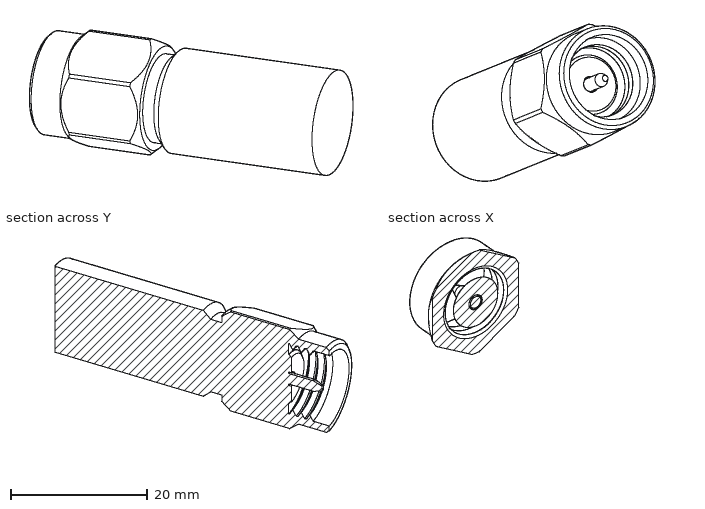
import cadquery as cq
import math

total_length = 45.2
hex_start = 5.05
hex_end = 17.75
neck_end = 19.55
barrel_start = 20.75
lip_chamfer = 0.5

collar_radius = 7.75
neck_radius = 6.6
barrel_radius = 7.8

hex_across_flats = 15.85
hex_corner_radius = 9.0
hex_end_radius = collar_radius
hex_chamfer_length = 1.5

mouth_radius = 6.35
socket_depth = 6.7
crest_radius = 5.4
thread_start = 2.65
thread_pitch = 1.4
ridge_count = 3
crest_length = 0.05
flank_angle = 30
flank_length = (mouth_radius - crest_radius) * math.tan(math.radians(flank_angle))

insulator_radius = 4.45
insulator_bevel = 0.4
insulator_face = 6.25

pin_radius = 1.0
pin_tip_radius = 0.45
pin_tip_start = 1.18
pin_taper_end = 2.6
clearance_radius = 1.18
clearance_depth = 0.45


def revolve_profile(points):
    """Revolve a closed outline of (x, radius) points about the X axis."""
    return cq.Workplane("XY").polyline(points).close().revolve(360, (0, 0, 0), (1, 0, 0))


def make_outer_body():
    """Collar, neck and barrel as one stepped round body."""
    return revolve_profile([
        (0, 0),
        (0, collar_radius - lip_chamfer),
        (lip_chamfer, collar_radius),
        (hex_end, collar_radius),
        (hex_end, neck_radius),
        (neck_end, neck_radius),
        (barrel_start, barrel_radius),
        (total_length, barrel_radius),
        (total_length, 0),
    ])


def make_hex_nut():
    """Hexagon with flats facing +Y and -Y, its corners rounded and both ends bevelled."""
    corner_diameter = hex_across_flats / math.cos(math.pi / 6)
    prism = (
        cq.Workplane("YZ")
        .workplane(offset=hex_start)
        .transformed(rotate=(0, 0, 90))
        .polygon(6, corner_diameter)
        .extrude(hex_end - hex_start)
    )
    envelope = revolve_profile([
        (hex_start, 0),
        (hex_start, hex_end_radius),
        (hex_start + hex_chamfer_length, hex_corner_radius),
        (hex_end - hex_chamfer_length, hex_corner_radius),
        (hex_end, hex_end_radius),
        (hex_end, 0),
    ])
    return prism.intersect(envelope)


def make_socket():
    """Cavity of the nut with ring-shaped thread ridges, leaving the insulator and pin standing."""
    wall = [(0, mouth_radius)]
    for ridge in range(ridge_count):
        flank_start = thread_start + ridge * thread_pitch
        crest_start = flank_start + flank_length
        crest_end = crest_start + crest_length
        wall += [
            (flank_start, mouth_radius),
            (crest_start, crest_radius),
            (crest_end, crest_radius),
            (crest_end + flank_length, mouth_radius),
        ]
    floor = [
        (socket_depth, mouth_radius),
        (socket_depth, insulator_radius),
        (insulator_face + insulator_bevel, insulator_radius),
        (insulator_face, insulator_radius - insulator_bevel),
        (insulator_face, clearance_radius),
        (insulator_face + clearance_depth, clearance_radius),
        (insulator_face + clearance_depth, pin_radius),
        (pin_taper_end, pin_radius),
        (pin_tip_start, pin_tip_radius),
        (pin_tip_start, 0),
    ]
    return revolve_profile([(0, 0)] + wall + floor)


result = make_outer_body().union(make_hex_nut()).cut(make_socket())